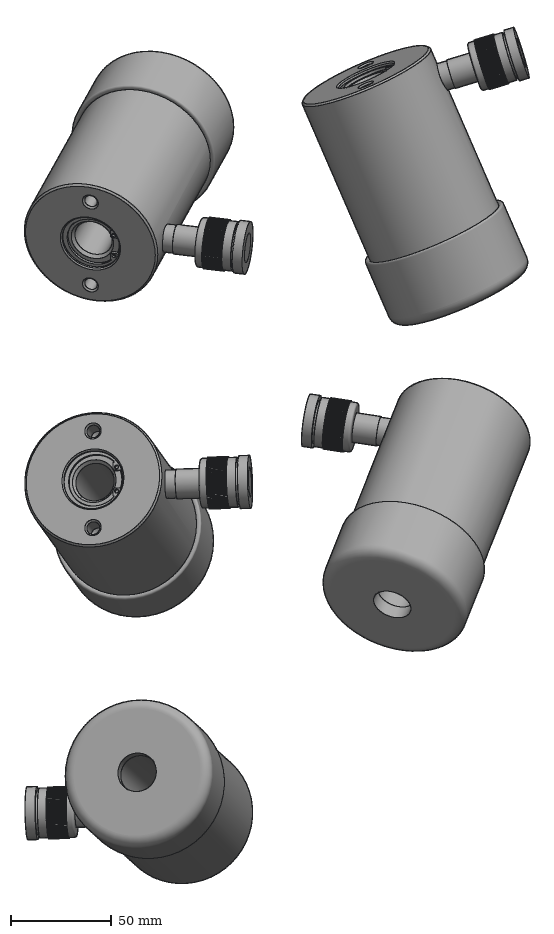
import cadquery as cq
import math

total_length = 122.5

housing_dia = 69.8
housing_edge_chamfer = 1.0
counterbore_dia = 30.0
counterbore_chamfer = 0.7
tapped_hole_dia = 6.5
tapped_hole_mouth_dia = 8.3
tapped_hole_depth = 12.2
tapped_hole_offset = 25.1
drill_point_angle = 118.0

cap_dia = 75.0
cap_length = 35.9
cap_end_wall = 7.4
cap_back_fillet = 5.3
cap_rim_fillet = 1.1

sleeve_dia = 29.0
sleeve_front = 3.3
sleeve_rim_chamfer = 0.5
through_bore_dia = 19.5
bore_mouth_chamfer = 1.3
bore_mouth_depth = 1.8

ring_thickness = 1.5
ring_inner_dia = 26.7
ring_inner_shift = 0.6
ring_half_gap = 4.7
lug_inner_x = 9.9
lug_top_z = 9.3
lug_corner_fillet = 1.0
lug_hole_dia = 2.0
lug_hole_x = 11.6
lug_hole_z = 6.2

connector_y = 12.5
connector_tilt = 5.7
stem_root_dia = 14.2
stem_dia = 15.0
stem_start = 29.4
stem_step = 39.5
coupling_dia = 25.0
coupling_start = 51.7
coupling_end = 70.1
coupling_fillet = 1.2
knurl_dia = 26.0
knurl_start = 55.5
knurl_end = 65.7
knurl_teeth = 120
end_ring_dia = 26.6
end_ring_start = 71.2
end_ring_end = 76.2
end_ring_neck_dia = 22.0

housing_end = total_length - cap_end_wall
cap_front = total_length - cap_length
ring_front = sleeve_front - ring_thickness
tapped_hole_mouth_depth = (tapped_hole_mouth_dia - tapped_hole_dia) / 2
drill_point_depth = tapped_hole_dia / 2 / math.tan(math.radians(drill_point_angle / 2))


def cylinder(diameter, start, end):
    """Cylinder around the Y axis between two y values."""
    return cq.Workplane("XZ", origin=(0, start, 0)).circle(diameter / 2).extrude(start - end)


def connector_cylinder(diameter, start, end):
    """Cylinder around the X axis between two stations, not yet tilted."""
    return cq.Workplane("YZ", origin=(start, 0, 0)).circle(diameter / 2).extrude(end - start)


def place_on_connector_axis(body):
    """Tilt a body built around the X axis and move it onto the connector axis."""
    return body.rotate((0, 0, 0), (0, 0, 1), connector_tilt).translate((0, connector_y, 0))


def tapped_hole(z):
    """Blind hole from the front face with a countersunk mouth and a drill point."""
    mouth_radius = tapped_hole_mouth_dia / 2
    hole_radius = tapped_hole_dia / 2
    return (
        cq.Workplane("XY")
        .moveTo(0, 0)
        .lineTo(mouth_radius, 0)
        .lineTo(hole_radius, tapped_hole_mouth_depth)
        .lineTo(hole_radius, tapped_hole_depth)
        .lineTo(0, tapped_hole_depth + drill_point_depth)
        .close()
        .revolve(360, (0, 0, 0), (0, 1, 0))
        .translate((0, 0, z))
    )


def make_stem():
    root = connector_cylinder(stem_root_dia, stem_start, stem_step)
    shaft = connector_cylinder(stem_dia, stem_step, end_ring_end)
    return place_on_connector_axis(root.union(shaft))


def make_housing(stem):
    housing = cylinder(housing_dia, 0, housing_end).faces("<Y").chamfer(housing_edge_chamfer)
    counterbore = cylinder(counterbore_dia, 0, sleeve_front)
    counterbore_edge = cq.selectors.RadiusNthSelector(0)
    housing = housing.cut(counterbore).faces("<Y").edges(counterbore_edge).chamfer(counterbore_chamfer)
    housing = housing.cut(cylinder(sleeve_dia, sleeve_front, housing_end))
    for z in (-tapped_hole_offset, tapped_hole_offset):
        housing = housing.cut(tapped_hole(z))
    return housing.cut(stem)


def make_cap():
    cap = cylinder(cap_dia, cap_front, total_length)
    cap = cap.faces(">Y").edges().fillet(cap_back_fillet)
    housing_socket = cylinder(housing_dia, cap_front, housing_end)
    through_bore = cylinder(through_bore_dia, cap_front, total_length)
    cap = cap.cut(housing_socket).cut(through_bore)
    return cap.faces("<Y").edges().fillet(cap_rim_fillet)


def make_sleeve():
    sleeve = cylinder(sleeve_dia, sleeve_front, housing_end).faces("<Y").chamfer(sleeve_rim_chamfer)
    through_bore = cylinder(through_bore_dia, sleeve_front, housing_end)
    mouth_dia = through_bore_dia + 2 * bore_mouth_chamfer
    mouth = (
        cq.Workplane("XZ", origin=(0, sleeve_front, 0))
        .circle(mouth_dia / 2)
        .workplane(offset=-bore_mouth_depth)
        .circle(through_bore_dia / 2)
        .loft()
    )
    return sleeve.cut(through_bore).cut(mouth)


def ring_plate():
    """Workplane on the front face of the retaining ring."""
    return cq.Workplane("XZ", origin=(0, ring_front, 0))


def make_retaining_ring():
    disc = ring_plate().circle(counterbore_dia / 2).extrude(-ring_thickness)
    opening = ring_plate().center(ring_inner_shift, 0).circle(ring_inner_dia / 2).extrude(-ring_thickness)
    ring = disc.cut(opening)
    lug_width = counterbore_dia / 2 - lug_inner_x
    lug_height = lug_top_z - ring_half_gap
    for side in (-1, 1):
        lug = (
            ring_plate()
            .center(lug_inner_x + lug_width / 2, side * (ring_half_gap + lug_height / 2))
            .rect(lug_width, lug_height)
            .extrude(-ring_thickness)
            .edges("|Y and <X")
            .fillet(lug_corner_fillet)
        )
        ring = ring.union(lug.intersect(disc))
    gap = (
        ring_plate()
        .center(counterbore_dia / 2, 0)
        .rect(counterbore_dia, 2 * ring_half_gap)
        .extrude(-ring_thickness)
    )
    lug_holes = (
        ring_plate()
        .pushPoints([(lug_hole_x, -lug_hole_z), (lug_hole_x, lug_hole_z)])
        .circle(lug_hole_dia / 2)
        .extrude(-ring_thickness)
    )
    return ring.cut(gap).cut(lug_holes)


def knurl():
    """Band of straight V teeth whose valleys lie on the coupling surface."""
    points = []
    for i in range(2 * knurl_teeth):
        radius = (knurl_dia if i % 2 == 0 else coupling_dia) / 2
        angle = math.pi * i / knurl_teeth
        points.append((radius * math.cos(angle), radius * math.sin(angle)))
    return (
        cq.Workplane("YZ", origin=(knurl_start, 0, 0))
        .polyline(points)
        .close()
        .extrude(knurl_end - knurl_start)
    )


def make_coupling():
    front = connector_cylinder(coupling_dia, coupling_start, knurl_start)
    front = front.faces("<X").edges().fillet(coupling_fillet)
    back = connector_cylinder(coupling_dia, knurl_end, coupling_end)
    coupling = front.union(knurl()).union(back)
    stem_hole = connector_cylinder(stem_dia, coupling_start, coupling_end)
    return place_on_connector_axis(coupling.cut(stem_hole))


def make_end_ring():
    ring = connector_cylinder(end_ring_dia, end_ring_start, end_ring_end)
    neck = connector_cylinder(end_ring_neck_dia, coupling_end, end_ring_start)
    stem_hole = connector_cylinder(stem_dia, coupling_end, end_ring_end)
    return place_on_connector_axis(ring.union(neck).cut(stem_hole))


stem = make_stem()
housing = make_housing(stem)
cap = make_cap()
sleeve = make_sleeve()
retaining_ring = make_retaining_ring()
coupling = make_coupling()
end_ring = make_end_ring()

bodies = [housing, cap, sleeve, retaining_ring, stem, coupling, end_ring]
result = cq.Compound.makeCompound([body.val() for body in bodies])